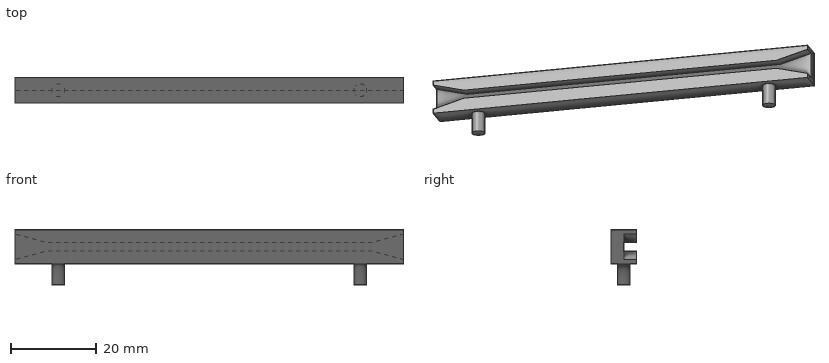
import cadquery as cq
import math

length = 91.5
width = 6.0
bar_height = 8.05

slot_depth = width / 2
throat_height = 2.0
mouth_height = 6.0
flare_angle = 15.0
flare_length = (mouth_height - throat_height) / 2 / math.tan(math.radians(flare_angle))

pin_diameter = 3.0
pin_length = 4.9
pin_end_distance = 10.25


def make_bar():
    """Plain bar centred on X and Y, with its underside at Z = 0."""
    return cq.Workplane("XY").box(length, width, bar_height, centered=(True, True, False))


def make_slot():
    """Slot opening at the back face, narrowing from each end mouth to the throat."""
    end_x = length / 2
    throat_x = end_x - flare_length
    mouth = mouth_height / 2
    throat = throat_height / 2
    outline = [
        (-end_x, mouth),
        (-throat_x, throat),
        (throat_x, throat),
        (end_x, mouth),
        (end_x, -mouth),
        (throat_x, -throat),
        (-throat_x, -throat),
        (-end_x, -mouth),
    ]
    slot_floor_y = width / 2 - slot_depth
    return (
        cq.Workplane("XZ", origin=(0, slot_floor_y, bar_height / 2))
        .polyline(outline)
        .close()
        .extrude(-slot_depth)
    )


def make_pins():
    """Round pins hanging from the underside near each end."""
    pin_x = length / 2 - pin_end_distance
    return (
        cq.Workplane("XY")
        .pushPoints([(-pin_x, 0), (pin_x, 0)])
        .circle(pin_diameter / 2)
        .extrude(-pin_length)
    )


result = make_bar().cut(make_slot()).union(make_pins())